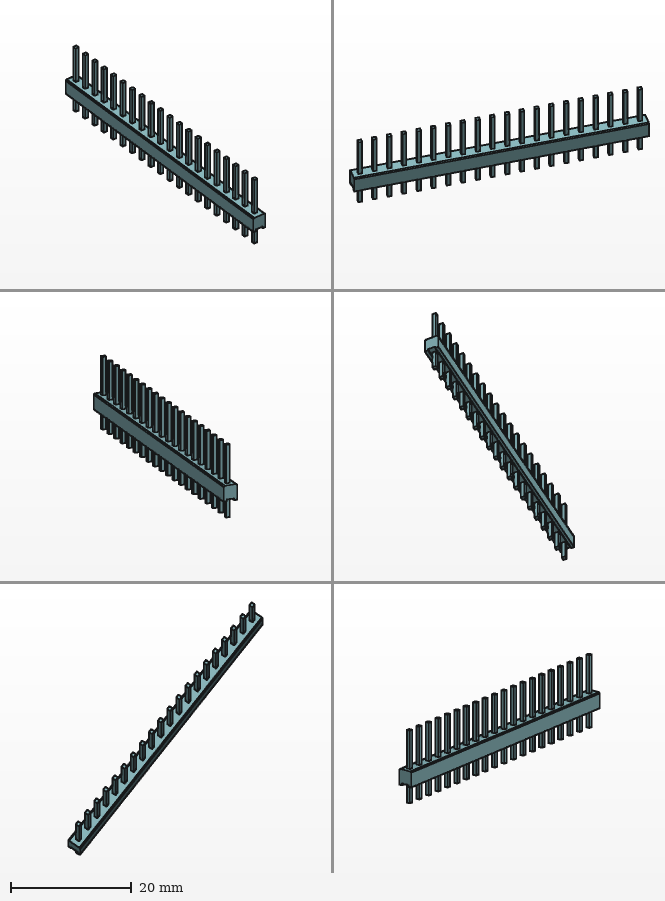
import cadquery as cq

pin_count = 20
pitch = 2.55
body_depth = 2.5
body_height = 2.8
edge_bevel = 0.2
channel_width = 1.3
channel_height = 0.3
pin_width = 0.65
pin_length = 12.7
pin_tail = 3.2
pin_row_shift = -0.05

body_length = pin_count * pitch


def make_body():
    """Bar along X with bevelled top edges and a channel along its underside."""
    half_depth = body_depth / 2
    half_channel = channel_width / 2
    half_profile = [
        (0, channel_height),
        (half_channel, channel_height),
        (half_channel, 0),
        (half_depth, 0),
        (half_depth, body_height - edge_bevel),
        (half_depth - edge_bevel, body_height),
        (0, body_height),
    ]
    return (
        cq.Workplane("YZ")
        .polyline(half_profile)
        .mirrorY()
        .extrude(body_length / 2, both=True)
    )


def make_pins():
    """Row of square pins running through the body, one per pitch."""
    return (
        cq.Workplane("XY", origin=(pin_row_shift, 0, -pin_tail))
        .rarray(pitch, pitch, pin_count, 1)
        .rect(pin_width, pin_width)
        .extrude(pin_length)
    )


result = make_body().union(make_pins())